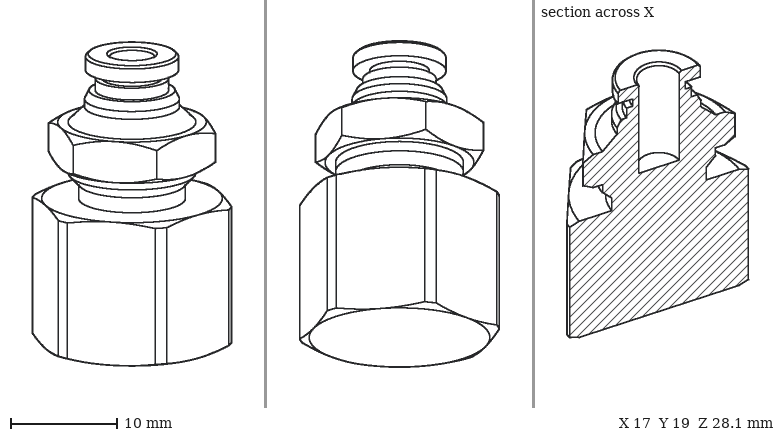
import cadquery as cq
import math

BODY_TOP = 14.0
NECK_TOP = 15.45
RING_BOTTOM = 16.5
NUT_BOTTOM = 17.42
NUT_TOP = 21.45
SLEEVE_BOTTOM = 22.95
SLEEVE_SHOULDER = 23.72
SLEEVE_TOP = 24.55
COLLAR_TOP = 25.7
CAP_BOTTOM = 26.53
TOTAL_HEIGHT = 28.1

NECK_RADIUS = 5.03
RING_RADIUS = 6.0
SLEEVE_RADIUS = 4.47
SLEEVE_TOP_RADIUS = 4.05
COLLAR_RADIUS = 3.45
STEM_RADIUS = 2.8
CAP_RADIUS = 4.38
CAP_CHAMFER = 0.25

HALF_SIDE_ANGLE = math.pi / 6
BODY_FLATS = 17.0
BODY_CORNER_DIAMETER = 19.0
BODY_CHAMFER_ANGLE = 20
NUT_FLATS = 14.0
NUT_CHAMFER_ANGLE = 30

HOLE_RADIUS = 2.1
HOLE_CHAMFER = 0.25
HOLE_DEPTH = TOTAL_HEIGHT - NUT_BOTTOM


def revolve_profile(points):
    """Revolve an outline of (radius, height) points about the Z axis."""
    return cq.Workplane("YZ").polyline(points).close().revolve(360, (0, 0), (0, 1))


def chamfered_hexagon(bottom, top, flats, corner_diameter, chamfer_angle):
    """Hexagonal prism with corners turned to a diameter and both ends coned from the flats."""
    flat_radius = flats / 2
    corner_radius = corner_diameter / 2
    drop = (corner_radius - flat_radius) * math.tan(math.radians(chamfer_angle))
    sharp_radius = flat_radius / math.cos(HALF_SIDE_ANGLE)
    corner_angles = [(2 * side + 1) * HALF_SIDE_ANGLE for side in range(6)]
    corners = [(sharp_radius * math.cos(a), sharp_radius * math.sin(a)) for a in corner_angles]
    prism = (
        cq.Workplane("XY", origin=(0, 0, bottom))
        .polyline(corners)
        .close()
        .extrude(top - bottom)
    )
    envelope = revolve_profile([
        (0, bottom),
        (flat_radius, bottom),
        (corner_radius, bottom + drop),
        (corner_radius, top - drop),
        (flat_radius, top),
        (0, top),
    ])
    return prism.intersect(envelope)


def turned_core():
    """Round stem running from the top of the body to the release cap."""
    return revolve_profile([
        (0, BODY_TOP),
        (NECK_RADIUS, BODY_TOP),
        (NECK_RADIUS, NECK_TOP),
        (RING_RADIUS, RING_BOTTOM),
        (RING_RADIUS, NUT_TOP),
        (SLEEVE_RADIUS, SLEEVE_BOTTOM),
        (SLEEVE_RADIUS, SLEEVE_SHOULDER),
        (SLEEVE_TOP_RADIUS, SLEEVE_TOP),
        (COLLAR_RADIUS, SLEEVE_TOP),
        (COLLAR_RADIUS, COLLAR_TOP),
        (STEM_RADIUS, COLLAR_TOP),
        (STEM_RADIUS, CAP_BOTTOM),
        (CAP_RADIUS, CAP_BOTTOM),
        (CAP_RADIUS, TOTAL_HEIGHT - CAP_CHAMFER),
        (CAP_RADIUS - CAP_CHAMFER, TOTAL_HEIGHT),
        (0, TOTAL_HEIGHT),
    ])


def tube_hole():
    """Blind hole with a chamfered mouth."""
    return revolve_profile([
        (0, TOTAL_HEIGHT - HOLE_DEPTH),
        (HOLE_RADIUS, TOTAL_HEIGHT - HOLE_DEPTH),
        (HOLE_RADIUS, TOTAL_HEIGHT - HOLE_CHAMFER),
        (HOLE_RADIUS + HOLE_CHAMFER, TOTAL_HEIGHT),
        (0, TOTAL_HEIGHT),
    ])


nut_corner_diameter = NUT_FLATS / math.cos(HALF_SIDE_ANGLE)

body = chamfered_hexagon(0, BODY_TOP, BODY_FLATS, BODY_CORNER_DIAMETER, BODY_CHAMFER_ANGLE)
nut = chamfered_hexagon(NUT_BOTTOM, NUT_TOP, NUT_FLATS, nut_corner_diameter, NUT_CHAMFER_ANGLE)

result = body.union(turned_core()).union(nut).cut(tube_hole())